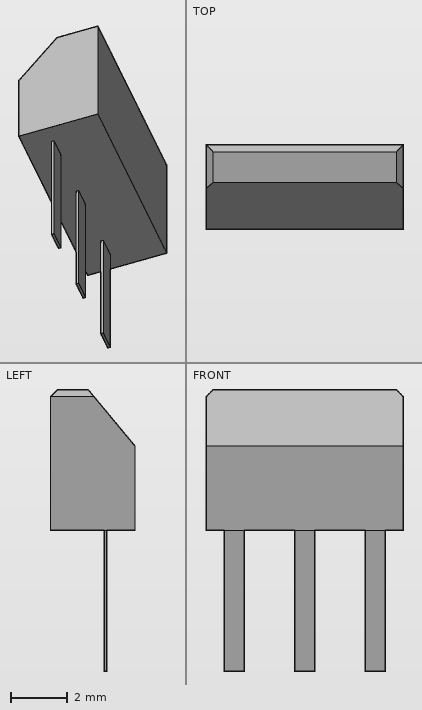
import cadquery as cq

body_width = 7.0
body_depth = 3.0
body_height = 5.0
front_wall_height = 3.0
slope_run = 1.66
edge_chamfer = 0.25

lead_count = 3
lead_pitch = 2.5
lead_width = 0.72
lead_thickness = 0.1
lead_length = 5.0
lead_y = -0.45

front_y = -body_depth / 2
back_y = body_depth / 2


def make_body():
    """Extrude the side profile along X, then chamfer the back and end edges of the top."""
    profile = [
        (front_y, 0),
        (back_y, 0),
        (back_y, body_height),
        (front_y + slope_run, body_height),
        (front_y, front_wall_height),
    ]
    block = cq.Workplane("YZ").polyline(profile).close().extrude(body_width / 2, both=True)
    top_edges = block.faces(">Z").edges("|Y or >Y")
    return top_edges.chamfer(edge_chamfer)


def make_lead(x):
    """Flat lead hanging from the underside of the body."""
    return (
        cq.Workplane("XY")
        .center(x, lead_y)
        .rect(lead_width, lead_thickness)
        .extrude(-lead_length)
    )


result = make_body()
for index in range(lead_count):
    lead_x = (index - (lead_count - 1) / 2) * lead_pitch
    result = result.union(make_lead(lead_x))